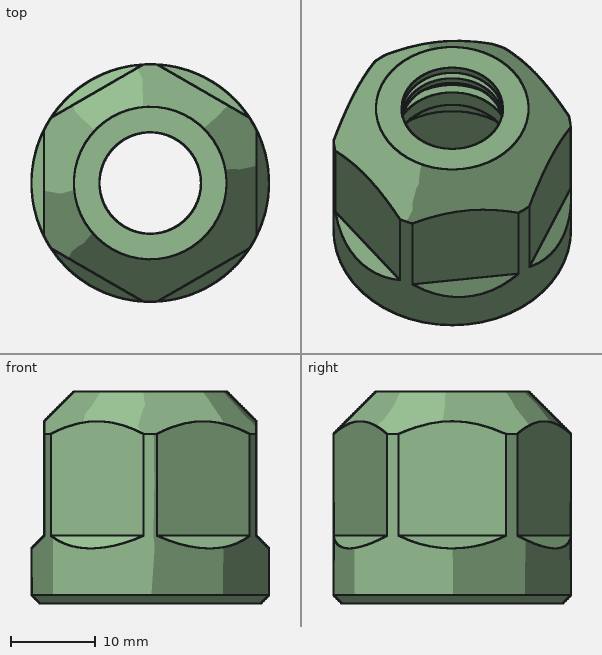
import cadquery as cq
import math

diameter = 28.0
radius = diameter / 2
height = 25.0
base_chamfer = 1.0
top_face_radius = 9.0
top_cone_height = radius - top_face_radius

flat_count = 6
across_flats = 25.0
flat_distance = across_flats / 2
flat_bottom = 8.0
flat_depth = radius - flat_distance

bore_radius = 5.95
groove_radius = 7.3
groove_top_depth = 1.0
groove_bottom_depth = 2.1
upper_bore_depth = 3.0

lower_bore_radius = 6.75
lower_groove_radius = 7.85
lower_groove_top_depth = 4.2
lower_groove_bottom_depth = 5.95
lower_bore_depth = 8.37

socket_radius = 10.0
cone_half_angle = 30.0
cone_length = (socket_radius - lower_bore_radius) / math.tan(math.radians(cone_half_angle))
socket_depth = lower_bore_depth + cone_length


def make_body():
    """Turned blank with a chamfered base and a conical top."""
    profile = [
        (0, 0),
        (radius - base_chamfer, 0),
        (radius, base_chamfer),
        (radius, height - top_cone_height),
        (top_face_radius, height),
        (0, height),
    ]
    return cq.Workplane("XZ").polyline(profile).close().revolve(360, (0, 0), (0, 1))


def make_flat_cutter():
    """Cutter for the +X flat, with a 45 degree runout down to the base collar."""
    margin = radius
    outer = radius + margin
    profile = [
        (flat_distance, flat_bottom),
        (outer, flat_bottom - flat_depth - margin),
        (outer, height + margin),
        (flat_distance, height + margin),
    ]
    return cq.Workplane("XZ").polyline(profile).close().extrude(radius, both=True)


def make_bore():
    """Revolved cavity, outlined from the top face down to the base."""
    outline = [
        (0, 0),
        (bore_radius, 0),
        (bore_radius, groove_top_depth),
        (groove_radius, groove_top_depth),
        (groove_radius, groove_bottom_depth),
        (bore_radius, groove_bottom_depth),
        (bore_radius, upper_bore_depth),
        (lower_bore_radius, upper_bore_depth),
        (lower_bore_radius, lower_groove_top_depth),
        (lower_groove_radius, lower_groove_top_depth),
        (lower_groove_radius, lower_groove_bottom_depth),
        (lower_bore_radius, lower_groove_bottom_depth),
        (lower_bore_radius, lower_bore_depth),
        (socket_radius, socket_depth),
        (socket_radius, height),
        (0, height),
    ]
    profile = [(r, height - depth) for r, depth in outline]
    return cq.Workplane("XZ").polyline(profile).close().revolve(360, (0, 0), (0, 1))


result = make_body()

flat_cutter = make_flat_cutter()
for index in range(flat_count):
    angle = index * 360 / flat_count
    result = result.cut(flat_cutter.rotate((0, 0, 0), (0, 0, 1), angle))

result = result.cut(make_bore())